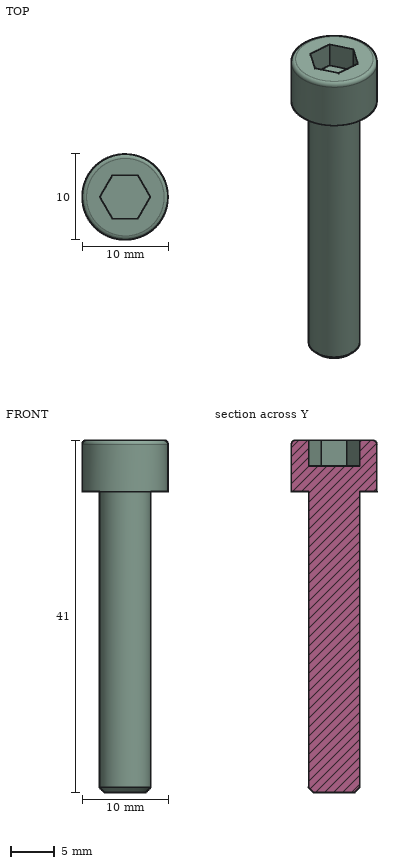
import cadquery as cq
import math

total_length = 41.0
head_diameter = 10.0
shank_diameter = 6.0
head_height = shank_diameter
head_edge_radius = 0.5
tip_chamfer = 0.6
socket_across_flats = 5.1
socket_depth = head_height / 2

shank_length = total_length - head_height
socket_across_corners = socket_across_flats / math.cos(math.pi / 6)

shank = (
    cq.Workplane("XY")
    .circle(shank_diameter / 2)
    .extrude(shank_length)
    .faces("<Z")
    .chamfer(tip_chamfer)
)

head = (
    cq.Workplane("XY")
    .workplane(offset=shank_length)
    .circle(head_diameter / 2)
    .extrude(head_height)
    .faces(">Z")
    .edges()
    .fillet(head_edge_radius)
)

socket = (
    cq.Workplane("XY")
    .workplane(offset=total_length - socket_depth)
    .polygon(6, socket_across_corners)
    .extrude(socket_depth)
)

result = shank.union(head).cut(socket)